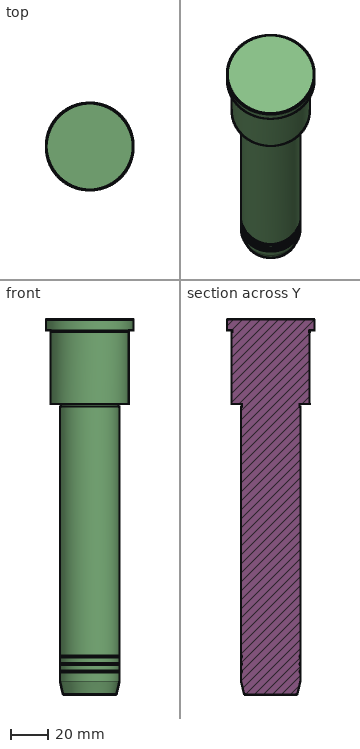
import cadquery as cq

total_height = 201.0
flange_diameter = 47.0
flange_height = 6.0
flange_edge_chamfer = 0.5
sleeve_diameter = 42.0
sleeve_bottom_z = 155.5
shaft_diameter = 32.0

relief_width = 1.0

neck_height = 1.5
neck_diameter = 31.0

tip_diameter = 28.5
tip_height = 7.2
tip_edge_chamfer = 0.6

groove_count = 3
groove_first_z = 12.0
groove_pitch = 4.0
groove_width = 1.0

flange_bottom_z = total_height - flange_height
shaft_top_z = sleeve_bottom_z - neck_height


def cylinder(diameter, bottom_z, top_z):
    return cq.Workplane("XY").workplane(offset=bottom_z).circle(diameter / 2).extrude(top_z - bottom_z)


def ring_groove(outer_diameter, bottom_z, width):
    """V-shaped ring cutter with 45 degree flanks, as wide as given at the outer surface."""
    radius = outer_diameter / 2
    half_width = width / 2
    middle_z = bottom_z + half_width
    profile = [
        (radius - half_width, middle_z),
        (radius + half_width, middle_z + width),
        (radius + half_width, middle_z - width),
    ]
    return cq.Workplane("XZ").polyline(profile).close().revolve(360, (0, 0), (0, 1))


def tapered_tip():
    tip = (
        cq.Workplane("XY")
        .circle(tip_diameter / 2)
        .workplane(offset=tip_height)
        .circle(shaft_diameter / 2)
        .loft(ruled=True)
    )
    return tip.faces("<Z").edges().chamfer(tip_edge_chamfer)


def sleeve():
    body = cylinder(sleeve_diameter, sleeve_bottom_z, flange_bottom_z)
    return body.cut(ring_groove(sleeve_diameter, flange_bottom_z - relief_width, relief_width))


def flange():
    disc = cylinder(flange_diameter, flange_bottom_z, total_height)
    return disc.faces(">Z").edges().chamfer(flange_edge_chamfer)


result = (
    tapered_tip()
    .union(cylinder(shaft_diameter, tip_height, shaft_top_z))
    .union(cylinder(neck_diameter, shaft_top_z, sleeve_bottom_z))
    .union(sleeve())
    .union(flange())
)

for index in range(groove_count):
    groove_z = groove_first_z + index * groove_pitch
    result = result.cut(ring_groove(shaft_diameter, groove_z, groove_width))